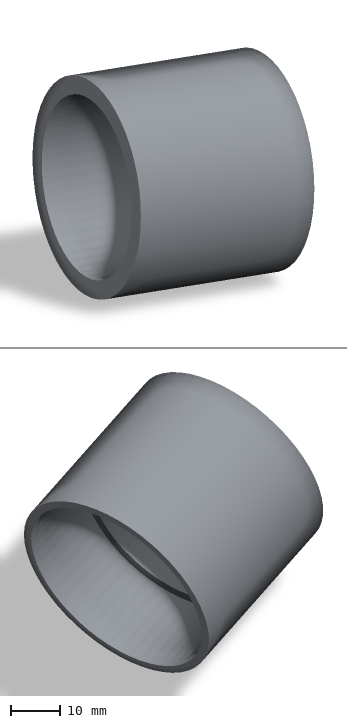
import cadquery as cq

outer_diameter = 46.0
front_bore_diameter = 38.2
rear_bore_diameter = 42.4
length = 40.0
front_bore_length = 22.0
rear_bore_length = length - front_bore_length

sleeve = (
    cq.Workplane("XZ", origin=(0, length / 2, 0))
    .circle(outer_diameter / 2)
    .circle(front_bore_diameter / 2)
    .extrude(length)
)

rear_bore = (
    cq.Workplane("XZ", origin=(0, length / 2, 0))
    .circle(rear_bore_diameter / 2)
    .extrude(rear_bore_length)
)

result = sleeve.cut(rear_bore)